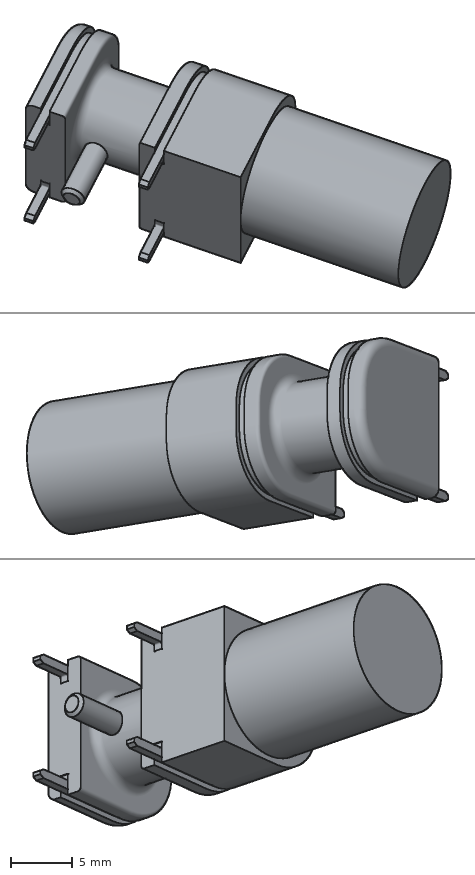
import cadquery as cq
import math


LENGTH = 33.0
HEIGHT = 11.98
TOTAL_DEPTH = 14.9

BARREL_DIAMETER = 11.0
BARREL_RADIUS = BARREL_DIAMETER / 2
BOARD_FACE_Y = -BARREL_RADIUS
HOUSING_BACK_Y = 6.0
LEG_END_Y = HOUSING_BACK_Y - TOTAL_DEPTH

CORNER_RADIUS = 5.0
FLANGE_THICKNESS = 3.5
BLOCK_START_X = 10.05
BLOCK_END_X = 19.05
NECK_DIAMETER = 7.6
NECK_FILLET = 0.73
END_FACE_FILLET = 0.75
NECK_SIDE_FILLET = 0.3

CLIP_THICKNESS = 0.8
CLIP_START_XS = (1.32, 11.45)
CLIP_INSET = 0.5
CLIP_BAND_WIDTH = 1.4
LEG_WIDTH = 0.8
LEG_TIP_WIDTH = 0.33
LEG_TIP_LENGTH = 0.4
LEG_ROOT_FILLET = 0.13
SHOULDER_FILLET = 0.13

PIN_X = 5.5
PIN_DIAMETER = 2.05
PIN_END_Y = LEG_END_Y
PIN_INNER_Y = 0.0
PIN_TIP_CHAMFER = 0.3


def u_prism(start_x, thickness, inset):
    """Plate across X with rounded back corners, its outline moved inwards by inset."""
    half_height = HEIGHT / 2 - inset
    back_y = HOUSING_BACK_Y - inset
    radius = CORNER_RADIUS - inset
    arc_start_y = back_y - radius
    flat_half = half_height - radius
    arc_reach = radius * math.sqrt(0.5)
    return (
        cq.Workplane("YZ", origin=(start_x, 0, 0))
        .moveTo(BOARD_FACE_Y, -half_height)
        .lineTo(arc_start_y, -half_height)
        .threePointArc((arc_start_y + arc_reach, -flat_half - arc_reach), (back_y, -flat_half))
        .lineTo(back_y, flat_half)
        .threePointArc((arc_start_y + arc_reach, flat_half + arc_reach), (arc_start_y, half_height))
        .lineTo(BOARD_FACE_Y, half_height)
        .close()
        .extrude(thickness)
    )


def round_edges(plate, face, radius):
    """Fillet the outline of one end face, leaving its straight board-side edge sharp."""
    off_board = cq.selectors.BoxSelector(
        (-LENGTH, BOARD_FACE_Y + radius, -HEIGHT),
        (LENGTH, HEIGHT, HEIGHT),
    )
    return plate.faces(face).edges(off_board).fillet(radius)


def make_neck():
    """Round neck that flares into the flange and the block with quarter-round fillets."""
    radius = NECK_DIAMETER / 2
    flare_radius = radius + NECK_FILLET
    arc_offset = NECK_FILLET * (1 - math.sqrt(0.5))
    return (
        cq.Workplane("XY")
        .moveTo(FLANGE_THICKNESS, 0)
        .lineTo(FLANGE_THICKNESS, flare_radius)
        .threePointArc((FLANGE_THICKNESS + arc_offset, radius + arc_offset),
                       (FLANGE_THICKNESS + NECK_FILLET, radius))
        .lineTo(BLOCK_START_X - NECK_FILLET, radius)
        .threePointArc((BLOCK_START_X - arc_offset, radius + arc_offset),
                       (BLOCK_START_X, flare_radius))
        .lineTo(BLOCK_START_X, 0)
        .close()
        .revolve(360, (0, 0, 0), (1, 0, 0))
    )


def make_band(start_x, outer_inset):
    """U-shaped band between outer_inset and the inner edge of the clip."""
    outer = u_prism(start_x, CLIP_THICKNESS, outer_inset)
    return outer.cut(u_prism(start_x, CLIP_THICKNESS, CLIP_INSET + CLIP_BAND_WIDTH))


def make_clip_leg(start_x, side):
    """Leg beyond the board face with a tapered tip and a filleted inner root."""
    outer_z = HEIGHT / 2 - CLIP_INSET
    inner_z = outer_z - LEG_WIDTH
    tip_start_y = LEG_END_Y + LEG_TIP_LENGTH
    tip_taper = (LEG_WIDTH - LEG_TIP_WIDTH) / 2
    arc_offset = LEG_ROOT_FILLET * (1 - math.sqrt(0.5))
    return (
        cq.Workplane("YZ", origin=(start_x, 0, 0))
        .moveTo(BOARD_FACE_Y, side * outer_z)
        .lineTo(tip_start_y, side * outer_z)
        .lineTo(LEG_END_Y, side * (outer_z - tip_taper))
        .lineTo(LEG_END_Y, side * (inner_z + tip_taper))
        .lineTo(tip_start_y, side * inner_z)
        .lineTo(BOARD_FACE_Y - LEG_ROOT_FILLET, side * inner_z)
        .threePointArc((BOARD_FACE_Y - arc_offset, side * (inner_z - arc_offset)),
                       (BOARD_FACE_Y, side * (inner_z - LEG_ROOT_FILLET)))
        .close()
        .extrude(CLIP_THICKNESS)
    )


def make_clip(start_x):
    """U-shaped band seated in its groove, with a leg at each end."""
    band = make_band(start_x, CLIP_INSET)
    inner_half_height = HEIGHT / 2 - CLIP_INSET - CLIP_BAND_WIDTH
    reach_z = inner_half_height + SHOULDER_FILLET
    shoulder_corners = cq.selectors.BoxSelector(
        (start_x, BOARD_FACE_Y - SHOULDER_FILLET, -reach_z),
        (start_x + CLIP_THICKNESS, BOARD_FACE_Y + SHOULDER_FILLET, reach_z),
    )
    clip = band.edges("|X").edges(shoulder_corners).fillet(SHOULDER_FILLET)
    for side in (-1, 1):
        clip = clip.union(make_clip_leg(start_x, side))
    return clip


def make_pin():
    """Round pin that runs from the neck axis out through the board side."""
    return (
        cq.Workplane("XZ", origin=(PIN_X, PIN_INNER_Y, 0))
        .circle(PIN_DIAMETER / 2)
        .extrude(PIN_INNER_Y - PIN_END_Y)
        .faces("<Y")
        .chamfer(PIN_TIP_CHAMFER)
    )


def make_barrel():
    """Plain cylinder that butts against the end face of the block."""
    return (
        cq.Workplane("YZ", origin=(BLOCK_END_X, 0, 0))
        .circle(BARREL_RADIUS)
        .extrude(LENGTH - BLOCK_END_X)
    )


def make_housing():
    """Flange, neck and block as one body, with the clip grooves and the pin hole."""
    flange = u_prism(0, FLANGE_THICKNESS, 0)
    flange = round_edges(flange, "<X", END_FACE_FILLET)
    flange = round_edges(flange, ">X", NECK_SIDE_FILLET)
    block = u_prism(BLOCK_START_X, BLOCK_END_X - BLOCK_START_X, 0)
    block = round_edges(block, "<X", NECK_SIDE_FILLET)
    body = flange.union(make_neck()).union(block)
    for start_x in CLIP_START_XS:
        body = body.cut(make_band(start_x, 0))
    return body.cut(make_pin())


housing = make_housing()
barrel = make_barrel()
pin = make_pin()
clips = [make_clip(start_x) for start_x in CLIP_START_XS]

result = cq.Compound.makeCompound(
    [housing.val(), barrel.val(), pin.val(), *[clip.val() for clip in clips]]
)